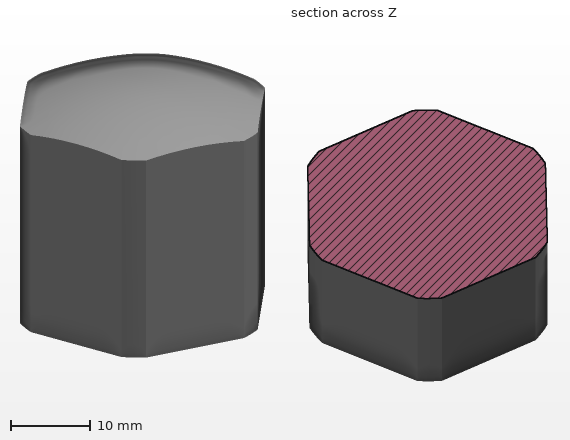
import cadquery as cq
import math

ACROSS_FLATS = 30.0
CORNER_DIAMETER = 33.0
TOTAL_HEIGHT = 30.0
DOME_RADIUS = 50.0

HEX_SIDES = 6

across_corners = ACROSS_FLATS / math.cos(math.pi / HEX_SIDES)
corner_radius = CORNER_DIAMETER / 2
dome_center_z = TOTAL_HEIGHT - DOME_RADIUS


def dome_height(radius):
    """Height of the spherical top at a given distance from the Z axis."""
    return dome_center_z + math.sqrt(DOME_RADIUS**2 - radius**2)


def hexagonal_prism():
    """Sharp-cornered hexagonal bar with its corners on the Y axis."""
    return (
        cq.Workplane("XY")
        .polygon(HEX_SIDES, across_corners)
        .extrude(TOTAL_HEIGHT)
        .rotate((0, 0, 0), (0, 0, 1), 90)
    )


def domed_cylinder():
    """Round body with a spherical top, revolved from a half section in the YZ plane."""
    arc_middle_radius = corner_radius / 2
    return (
        cq.Workplane("YZ")
        .moveTo(0, 0)
        .lineTo(corner_radius, 0)
        .lineTo(corner_radius, dome_height(corner_radius))
        .threePointArc((arc_middle_radius, dome_height(arc_middle_radius)), (0, TOTAL_HEIGHT))
        .close()
        .revolve(360, (0, 0, 0), (0, 1, 0))
    )


result = domed_cylinder().intersect(hexagonal_prism())